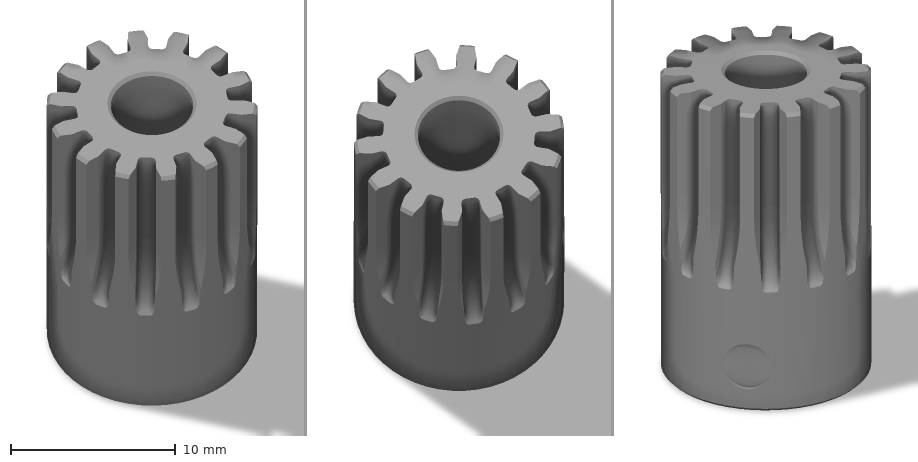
import cadquery as cq

length = 20.0
outer_radius = 12.8 / 2
bore_radius = 5.0 / 2
edge_chamfer = 0.2

tooth_count = 14
root_radius = 4.6
gap_root_half_width = 0.52
flank_knee_radius = 5.5
gap_knee_half_width = 0.62
gap_outer_half_width = 1.05
root_fillet = 0.28
full_depth_z = 13.0
runout_length = 4.95

screw_diameter = 3.0
screw_z = 3.0
screw_outer_end_y = 6.2

gap_depth = outer_radius - root_radius
cutter_radius = (runout_length**2 + gap_depth**2) / (2 * gap_depth)
cutter_axis_x = root_radius + cutter_radius

cut_overrun = 0.6
cutter_outer_x = outer_radius + cut_overrun
flank_slope = (gap_outer_half_width - gap_knee_half_width) / (outer_radius - flank_knee_radius)
cutter_outer_half_width = gap_outer_half_width + flank_slope * cut_overrun


def make_gap_profile():
    """Cross-section of the tooth gap on +X, with rounded root corners."""
    one_side = [
        (root_radius, gap_root_half_width),
        (flank_knee_radius, gap_knee_half_width),
        (cutter_outer_x, cutter_outer_half_width),
    ]
    other_side = [(x, -y) for x, y in reversed(one_side)]
    outline = one_side + other_side + one_side[:1]
    return cq.Sketch().polygon(outline).vertices("<X").fillet(root_fillet)


def make_gap_cutter():
    """Straight gap up through the top face, plus the curved runout below it."""
    start = cq.Workplane("XY").workplane(offset=full_depth_z).placeSketch(make_gap_profile())
    straight = start.extrude(length - full_depth_z + cut_overrun)
    runout = start.revolve(90, (cutter_axis_x, 0), (cutter_axis_x, -1))
    return straight.union(runout)


def make_screw_shape(start_y, end_y):
    """Cylinder along Y at the height of the set screw."""
    start = cq.Workplane("XZ", origin=(0, start_y, screw_z))
    return start.circle(screw_diameter / 2).extrude(start_y - end_y)


def make_pinion():
    blank = cq.Workplane("XY").circle(outer_radius).extrude(length)
    bored = blank.cut(cq.Workplane("XY").circle(bore_radius).extrude(length))
    pinion = bored.faces("<Z or >Z").edges().chamfer(edge_chamfer)

    gap_cutter = make_gap_cutter()
    for index in range(tooth_count):
        angle = index * 360 / tooth_count
        pinion = pinion.cut(gap_cutter.rotate((0, 0, 0), (0, 0, 1), angle))

    return pinion.cut(make_screw_shape(0, outer_radius + cut_overrun))


pinion = make_pinion()
set_screw = make_screw_shape(bore_radius, screw_outer_end_y)
result = cq.Compound.makeCompound([pinion.solids().val(), set_screw.val()])